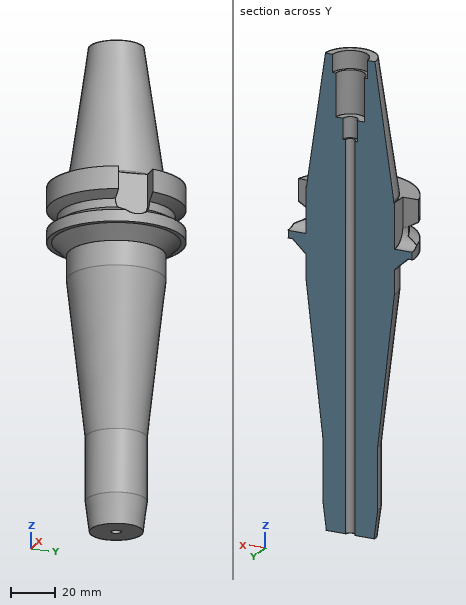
import cadquery as cq

LENGTH = 230.0

TAPER_LENGTH = 65.3
FLANGE_TOP = 66.3
GROOVE_TOP = 77.0
GROOVE_FLOOR_TOP = 80.0
GROOVE_FLOOR_BOTTOM = 84.2
GROOVE_BOTTOM = 87.0
FLANGE_BOTTOM = 92.5
COLLAR_TOP = 98.7
COLLAR_BOTTOM = 110.5
NOSE_TOP = 185.5
TIP_TOP = 215.8

TAPER_SMALL_RADIUS = 12.7
TAPER_LARGE_RADIUS = TAPER_SMALL_RADIUS + TAPER_LENGTH * 7 / 48
FLANGE_RADIUS = 31.5
GROOVE_RADIUS = 26.7
UNDERCONE_RADIUS = 29.2
COLLAR_RADIUS = 22.5
NOSE_RADIUS = 14.0
TIP_RADIUS = 12.2

SLOT_WIDTH = 16.0
SLOT_FLOOR = 22.5
SLOT_BOTTOM = 88.5

BORE_STEPS = [(8.7, 8.7), (7.1, 30.0), (3.5, 40.0)]
THROUGH_RADIUS = 2.3


def revolved_body():
    """Solid of revolution from (radius, depth) corners."""
    corners = [
        (0, 0),
        (TAPER_SMALL_RADIUS, 0),
        (TAPER_LARGE_RADIUS, TAPER_LENGTH),
        (TAPER_LARGE_RADIUS, FLANGE_TOP),
        (FLANGE_RADIUS, FLANGE_TOP),
        (FLANGE_RADIUS, GROOVE_TOP),
        (GROOVE_RADIUS, GROOVE_FLOOR_TOP),
        (GROOVE_RADIUS, GROOVE_FLOOR_BOTTOM),
        (FLANGE_RADIUS, GROOVE_BOTTOM),
        (FLANGE_RADIUS, FLANGE_BOTTOM),
        (UNDERCONE_RADIUS, FLANGE_BOTTOM),
        (COLLAR_RADIUS, COLLAR_TOP),
        (COLLAR_RADIUS, COLLAR_BOTTOM),
        (NOSE_RADIUS, NOSE_TOP),
        (NOSE_RADIUS, TIP_TOP),
        (TIP_RADIUS, LENGTH),
        (0, LENGTH),
    ]
    points = [(radius, LENGTH - depth) for radius, depth in corners]
    return cq.Workplane("XZ").polyline(points).close().revolve(360, (0, 0), (0, 1))


def drive_slot(side):
    """Cutter for a round-ended slot, open upwards; side is -1 or +1 along X."""
    half_width = SLOT_WIDTH / 2
    top = LENGTH - FLANGE_TOP
    end = LENGTH - SLOT_BOTTOM
    return (
        cq.Workplane("YZ", origin=(side * SLOT_FLOOR, 0, 0))
        .moveTo(-half_width, top)
        .lineTo(-half_width, end + half_width)
        .threePointArc((0, end), (half_width, end + half_width))
        .lineTo(half_width, top)
        .close()
        .extrude(side * FLANGE_RADIUS)
    )


def bore(radius, depth):
    """Cutter for a round bore going down from the upper face."""
    return cq.Workplane("XY", origin=(0, 0, LENGTH - depth)).circle(radius).extrude(depth)


result = revolved_body()

for side in (-1, 1):
    result = result.cut(drive_slot(side))

for radius, depth in BORE_STEPS:
    result = result.cut(bore(radius, depth))
result = result.cut(bore(THROUGH_RADIUS, LENGTH))